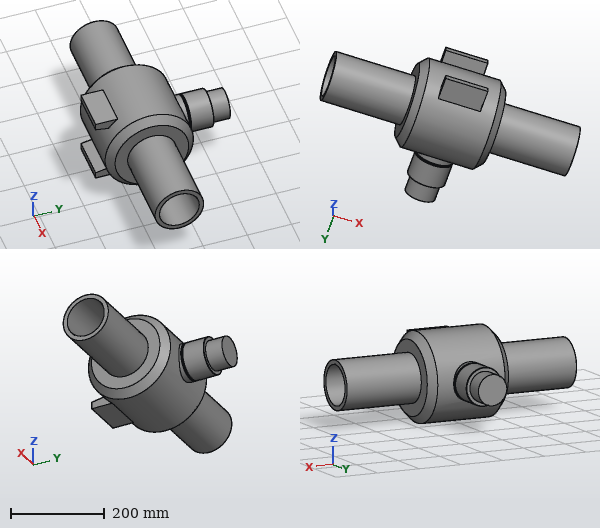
import cadquery as cq
import math

PIPE_LENGTH = 550.0
PIPE_DIAMETER = 110.0
BORE_DIAMETER = 90.0

BODY_LENGTH = 194.5
BODY_DIAMETER = 200.0
BODY_CHAMFER = 16.7

NECK_DIAMETER = 85.0
NECK_END_Y = 160.0
STUB_DIAMETER = 68.0
STUB_END_Y = 200.0
NECK_END_CHAMFER = 1.0
GROOVE_START_Y = 104.0
GROOVE_END_Y = 109.0
GROOVE_SIDE_WIDTH = 1.4
GROOVE_DEPTH = 0.5

FOOT_LENGTH = 95.0
FOOT_TIP_Y = -110.0
FOOT_ROOT_Y = -60.0
FOOT_OUTER_Z = 80.0
FOOT_TIP_THICKNESS = 16.0
FOOT_TAPER_ANGLE = 10.0


def cylinder_x(diameter, length):
    """Cylinder along X, centred on the origin."""
    return cq.Workplane("YZ").circle(diameter / 2).extrude(length / 2, both=True)


def make_body():
    """Central cylinder with chamfered ends."""
    return cylinder_x(BODY_DIAMETER, BODY_LENGTH).edges().chamfer(BODY_CHAMFER)


def make_neck():
    """Stepped side neck, turned about Y, with a shallow slant-sided groove next to the body."""
    neck_radius = NECK_DIAMETER / 2
    stub_radius = STUB_DIAMETER / 2
    floor_radius = neck_radius - GROOVE_DEPTH
    profile = [
        (0, 0),
        (neck_radius, 0),
        (neck_radius, GROOVE_START_Y),
        (floor_radius, GROOVE_START_Y + GROOVE_SIDE_WIDTH),
        (floor_radius, GROOVE_END_Y - GROOVE_SIDE_WIDTH),
        (neck_radius, GROOVE_END_Y),
        (neck_radius, NECK_END_Y - NECK_END_CHAMFER),
        (neck_radius - NECK_END_CHAMFER, NECK_END_Y),
        (stub_radius, NECK_END_Y),
        (stub_radius, STUB_END_Y),
        (0, STUB_END_Y),
    ]
    return cq.Workplane("XY").polyline(profile).close().revolve(360, (0, 0, 0), (0, 1, 0))


def make_upper_foot():
    """Foot with a flat outer face and an inner face that tapers toward the tip."""
    foot_reach = FOOT_ROOT_Y - FOOT_TIP_Y
    tip_inner_z = FOOT_OUTER_Z - FOOT_TIP_THICKNESS
    root_inner_z = tip_inner_z - foot_reach * math.tan(math.radians(FOOT_TAPER_ANGLE))
    outline = [
        (FOOT_ROOT_Y, FOOT_OUTER_Z),
        (FOOT_TIP_Y, FOOT_OUTER_Z),
        (FOOT_TIP_Y, tip_inner_z),
        (FOOT_ROOT_Y, root_inner_z),
    ]
    return cq.Workplane("YZ").polyline(outline).close().extrude(FOOT_LENGTH / 2, both=True)


upper_foot = make_upper_foot()
result = (
    cylinder_x(PIPE_DIAMETER, PIPE_LENGTH)
    .union(make_body())
    .union(make_neck())
    .union(upper_foot)
    .union(upper_foot.mirror("XY"))
    .cut(cylinder_x(BORE_DIAMETER, PIPE_LENGTH))
)